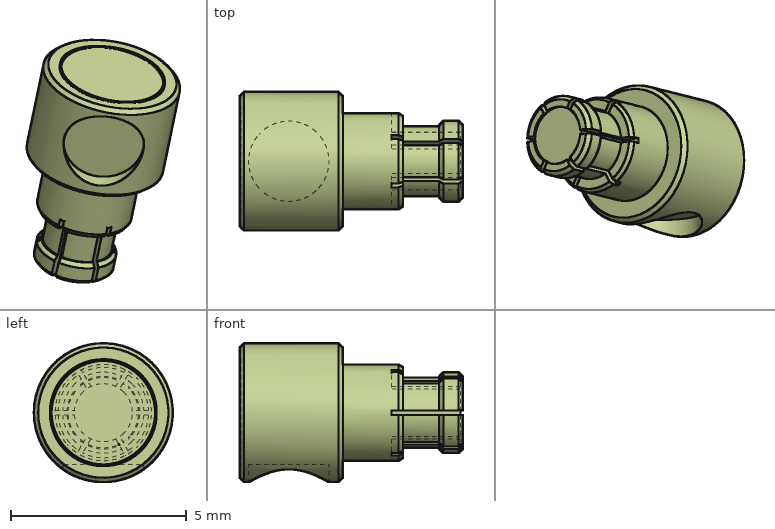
import cadquery as cq

length = 6.35
body_length = 2.935
barrel_end = 4.655
head_start = 5.68
core_end = 6.285

body_diameter = 3.96
barrel_diameter = 2.745
neck_diameter = 2.005
head_diameter = 2.31
core_diameter = 1.65

body_chamfer = 0.13
barrel_chamfer_length = 0.135
barrel_chamfer_depth = 0.08
head_chamfer = 0.12

groove_outer_diameter = 3.05
groove_inner_diameter = 2.945
groove_depth = 0.03

entry_diameter = 2.285
entry_center = 1.4
entry_depth = 0.51

slot_count = 6
slot_width = 0.135
slot_start = 4.325


def cylinder(diameter, start, end):
    """Cylinder on the X axis between two stations."""
    return cq.Workplane("YZ", origin=(start, 0, 0)).circle(diameter / 2).extrude(end - start)


def make_shell():
    """Turned body, barrel, neck and bulged head."""
    body_radius = body_diameter / 2
    barrel_radius = barrel_diameter / 2
    neck_radius = neck_diameter / 2
    head_radius = head_diameter / 2
    profile = [
        (0, 0),
        (0, body_radius - body_chamfer),
        (body_chamfer, body_radius),
        (body_length - body_chamfer, body_radius),
        (body_length, body_radius - body_chamfer),
        (body_length, barrel_radius),
        (barrel_end - barrel_chamfer_length, barrel_radius),
        (barrel_end, barrel_radius - barrel_chamfer_depth),
        (barrel_end, neck_radius),
        (head_start, neck_radius),
        (head_start, head_radius - head_chamfer),
        (head_start + head_chamfer, head_radius),
        (length - head_chamfer, head_radius),
        (length, head_radius - head_chamfer),
        (length, 0),
    ]
    return cq.Workplane("XY").polyline(profile).close().revolve(360, (0, 0, 0), (1, 0, 0))


def make_slots():
    """Radial slots, open at the front and stopping at the inner core."""
    slot_length = length - slot_start
    slots = cq.Workplane("XY")
    for index in range(slot_count):
        slot = (
            cq.Workplane("XY")
            .box(slot_length, barrel_diameter, slot_width, centered=(False, False, True))
            .translate((slot_start, 0, 0))
            .rotate((0, 0, 0), (1, 0, 0), index * 360 / slot_count)
        )
        slots = slots.add(slot)
    return slots.combine().cut(cylinder(core_diameter, slot_start, length))


def make_rear_groove():
    outer = cylinder(groove_outer_diameter, 0, groove_depth)
    return outer.cut(cylinder(groove_inner_diameter, 0, groove_depth))


def make_cable_entry():
    underside = cq.Workplane("XY", origin=(entry_center, 0, -body_diameter / 2))
    return underside.circle(entry_diameter / 2).extrude(entry_depth)


front_recess = cylinder(core_diameter, core_end, length)

result = (
    make_shell()
    .cut(front_recess)
    .cut(make_slots())
    .cut(make_rear_groove())
    .cut(make_cable_entry())
)